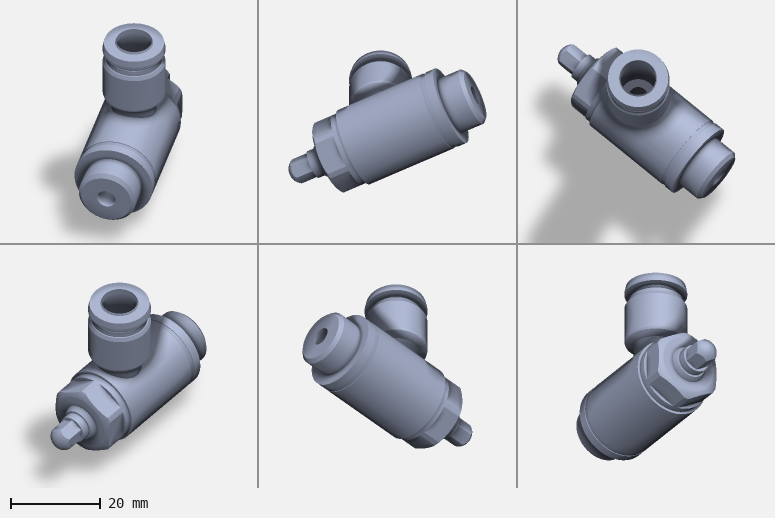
import cadquery as cq
import math


barrel_radius = 9.0
nose_radius = 6.55
nose_chamfer = 0.85
nose_end = 6.0
flange_end = 8.1
groove_radius = 17.7 / 2
groove_end = 9.2
barrel_end = 30.1
collar_radius = 8.4
collar_end = 31.7

nut_across_flats = 15.15
nut_end = 37.0
nut_dome_depth = 0.8
nut_face_radius = 6.6
nut_dome_mid_radius = 7.6
nut_dome_mid_depth = 0.28

cone_large_radius = 4.35
cone_small_radius = 3.68
cone_end = 38.28
shank_radius = 6.5 / 2
shank_end = 40.2
key_across_flats = 5.0
tip_sphere_radius = 3.25
screw_end = 45.95

socket_y = 23.5
neck_radius = 5.0
neck_flare_bottom = 10.25
neck_flare_top = 10.95
neck_flare_radius = 5.2
socket_radius = 14.0 / 2
socket_cone_top = 11.95
socket_straight_bottom = 12.45
socket_bottom_edge_radius = 6.85
socket_straight_top = 21.05
shoulder_bottom = 21.85
socket_top_edge_radius = 6.52
shoulder_bottom_radius = 6.25
shoulder_top = 22.98
shoulder_top_radius = 6.05
release_ring_bottom = 24.35
release_ring_taper_start = 24.9
release_ring_top = 26.4
release_ring_top_radius = 6.7
lip_base_radius = 4.25
socket_top = 26.95

passage_radius = 2.15
tube_bore_radius = 4.0
tube_bore_floor = socket_straight_bottom


def cylinder_y(radius, start, end):
    """Cylinder on the barrel axis between two Y positions."""
    return cq.Workplane("XZ", origin=(0, start, 0)).circle(radius).extrude(start - end)


def hexagon_y(across_flats, start, end):
    """Hexagonal bar on the barrel axis with two flats facing +X and -X."""
    across_corners = across_flats / math.cos(math.pi / 6)
    bar = cq.Workplane("XY").polygon(6, across_corners).extrude(end - start)
    bar = bar.rotate((0, 0, 0), (0, 0, 1), 30)
    return bar.rotate((0, 0, 0), (1, 0, 0), -90).translate((0, start, 0))


def revolve_y(profile):
    """Revolve an XY profile around the barrel axis."""
    return profile.close().revolve(360, (0, 0, 0), (0, 1, 0))


def make_barrel():
    return revolve_y(
        cq.Workplane("XY")
        .lineTo(nose_radius - nose_chamfer, 0)
        .lineTo(nose_radius, nose_chamfer)
        .lineTo(nose_radius, nose_end)
        .lineTo(barrel_radius, nose_end)
        .lineTo(barrel_radius, flange_end)
        .lineTo(groove_radius, flange_end)
        .lineTo(groove_radius, groove_end)
        .lineTo(barrel_radius, groove_end)
        .lineTo(barrel_radius, barrel_end)
        .lineTo(collar_radius, barrel_end)
        .lineTo(collar_radius, collar_end)
        .lineTo(0, collar_end)
    )


def make_nut():
    envelope = revolve_y(
        cq.Workplane("XY")
        .moveTo(0, collar_end)
        .lineTo(collar_radius, collar_end)
        .lineTo(collar_radius, nut_end - nut_dome_depth)
        .threePointArc((nut_dome_mid_radius, nut_end - nut_dome_mid_depth), (nut_face_radius, nut_end))
        .lineTo(0, nut_end)
    )
    return hexagon_y(nut_across_flats, collar_end, nut_end).intersect(envelope)


def make_screw():
    cone = revolve_y(
        cq.Workplane("XY")
        .moveTo(0, nut_end)
        .lineTo(cone_large_radius, nut_end)
        .lineTo(cone_small_radius, cone_end)
        .lineTo(0, cone_end)
    )
    shank = cylinder_y(shank_radius, cone_end, shank_end)
    sphere_y = screw_end - tip_sphere_radius
    arc_offset = tip_sphere_radius * math.sin(math.pi / 4)
    rounding = revolve_y(
        cq.Workplane("XY")
        .moveTo(0, shank_end)
        .lineTo(tip_sphere_radius, shank_end)
        .lineTo(tip_sphere_radius, sphere_y)
        .threePointArc((arc_offset, sphere_y + arc_offset), (0, screw_end))
    )
    key = hexagon_y(key_across_flats, shank_end, screw_end).intersect(rounding)
    return cone.union(shank).union(key)


def make_socket():
    profile = (
        cq.Workplane("XZ")
        .lineTo(neck_radius, 0)
        .lineTo(neck_radius, neck_flare_bottom)
        .lineTo(neck_flare_radius, neck_flare_top)
        .lineTo(socket_bottom_edge_radius, socket_cone_top)
        .lineTo(socket_radius, socket_straight_bottom)
        .lineTo(socket_radius, socket_straight_top)
        .lineTo(socket_top_edge_radius, shoulder_bottom)
        .lineTo(shoulder_bottom_radius, shoulder_bottom)
        .lineTo(shoulder_top_radius, shoulder_top)
        .lineTo(neck_radius, shoulder_top)
        .lineTo(neck_radius, release_ring_bottom)
        .lineTo(socket_radius, release_ring_bottom)
        .lineTo(socket_radius, release_ring_taper_start)
        .lineTo(release_ring_top_radius, release_ring_top)
        .lineTo(lip_base_radius, release_ring_top)
        .lineTo(tube_bore_radius, socket_top)
        .lineTo(0, socket_top)
        .close()
    )
    return profile.revolve(360, (0, 0, 0), (0, 1, 0)).translate((0, socket_y, 0))


def make_passage():
    elbow = cq.Workplane("XY", origin=(0, socket_y, 0))
    passage = elbow.sphere(passage_radius)
    passage = passage.union(cylinder_y(passage_radius, 0, socket_y))
    passage = passage.union(elbow.circle(passage_radius).extrude(socket_top))
    tube_bore = elbow.workplane(offset=tube_bore_floor).circle(tube_bore_radius)
    return passage.union(tube_bore.extrude(socket_top - tube_bore_floor))


result = make_barrel().union(make_nut()).union(make_screw()).union(make_socket()).cut(make_passage())